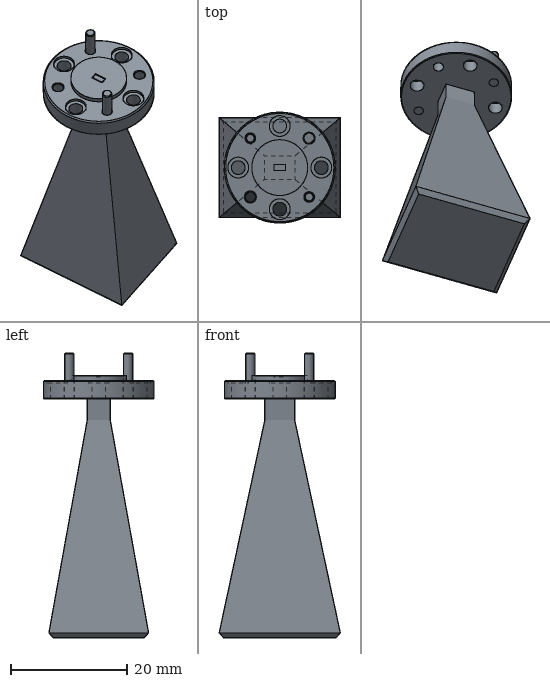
import cadquery as cq
import math

total_height = 48.9
pin_stand_out = 4.65
flange_top = total_height - pin_stand_out
flange_thickness = 3.25
flange_bottom = flange_top - flange_thickness
boss_height = 0.8
neck_length = 3.65
neck_bottom = flange_bottom - neck_length
lip_height = 0.9

horn_width = 20.85
horn_depth = 17.15
lip_inset = 0.8
neck_width = 5.2
neck_depth = 4.0

flange_diameter = 19.05
flange_top_chamfer = 0.25
flange_bottom_chamfer = 0.15
boss_diameter = 9.6
hole_circle_radius = 7.15
screw_hole_diameter = 2.35
counterbore_diameter = 3.55
counterbore_depth = 0.5
guide_width = 2.0
guide_height = 1.05
guide_depth = 0.2

pin_diameter = 1.6
pin_chamfer = 0.15
dowel_hole_diameter = 1.75
pin_hole_chamfer = 0.1
dowel_hole_chamfer = 0.15
diagonal = hole_circle_radius / math.sqrt(2)
pin_points = [(-diagonal, diagonal), (diagonal, -diagonal)]
dowel_points = [(diagonal, diagonal), (-diagonal, -diagonal)]
screw_points = [
    (hole_circle_radius, 0),
    (0, hole_circle_radius),
    (-hole_circle_radius, 0),
    (0, -hole_circle_radius),
]


def rectangular_taper(bottom_z, bottom_size, top_z, top_size):
    """Solid blending between two centred rectangles."""
    return (
        cq.Workplane("XY", origin=(0, 0, bottom_z))
        .rect(*bottom_size)
        .workplane(offset=top_z - bottom_z)
        .rect(*top_size)
        .loft(ruled=True)
    )


def make_horn():
    """Pyramidal horn with a bevelled mouth and a straight neck."""
    mouth = (horn_width - 2 * lip_inset, horn_depth - 2 * lip_inset)
    widest = (horn_width, horn_depth)
    neck = (neck_width, neck_depth)
    lip = rectangular_taper(0, mouth, lip_height, widest)
    flare = rectangular_taper(lip_height, widest, neck_bottom, neck)
    straight = rectangular_taper(neck_bottom, neck, flange_bottom, neck)
    return lip.union(flare).union(straight)


def countersink(x, y, hole_diameter, chamfer):
    """Conical cutter for the chamfered rim of a hole in the flange top."""
    hole_radius = hole_diameter / 2
    cone = cq.Solid.makeCone(
        hole_radius,
        hole_radius + chamfer,
        chamfer,
        pnt=cq.Vector(x, y, flange_top - chamfer),
    )
    return cq.Workplane(obj=cone)


def make_flange():
    """Round flange with its raised boss and all its holes."""
    disc = (
        cq.Workplane("XY", origin=(0, 0, flange_bottom))
        .circle(flange_diameter / 2)
        .extrude(flange_thickness)
        .faces(">Z").chamfer(flange_top_chamfer)
        .faces("<Z").chamfer(flange_bottom_chamfer)
    )
    top = cq.Workplane("XY", origin=(0, 0, flange_top))
    boss = top.circle(boss_diameter / 2).extrude(boss_height)
    screw_holes = top.pushPoints(screw_points).circle(screw_hole_diameter / 2).extrude(-flange_thickness)
    counterbores = top.pushPoints(screw_points).circle(counterbore_diameter / 2).extrude(-counterbore_depth)
    pin_holes = top.pushPoints(pin_points).circle(pin_diameter / 2).extrude(-flange_thickness)
    dowel_holes = top.pushPoints(dowel_points).circle(dowel_hole_diameter / 2).extrude(-flange_thickness)
    flange = disc.union(boss).cut(screw_holes).cut(counterbores).cut(pin_holes).cut(dowel_holes)
    for x, y in pin_points:
        flange = flange.cut(countersink(x, y, pin_diameter, pin_hole_chamfer))
    for x, y in dowel_points:
        flange = flange.cut(countersink(x, y, dowel_hole_diameter, dowel_hole_chamfer))
    return flange


def make_horn_antenna():
    """Horn and flange in one piece, with the waveguide opening in the boss."""
    guide = (
        cq.Workplane("XY", origin=(0, 0, flange_top + boss_height))
        .rect(guide_width, guide_height)
        .extrude(-guide_depth)
    )
    return make_horn().union(make_flange()).cut(guide)


def make_pin(x, y):
    """Alignment pin seated through the flange, chamfered at its tip."""
    return (
        cq.Workplane("XY", origin=(x, y, flange_bottom))
        .circle(pin_diameter / 2)
        .extrude(total_height - flange_bottom)
        .faces(">Z").chamfer(pin_chamfer)
    )


horn_antenna = make_horn_antenna()
pins = [make_pin(x, y) for x, y in pin_points]
result = cq.Compound.makeCompound([horn_antenna.val(), *[pin.val() for pin in pins]])